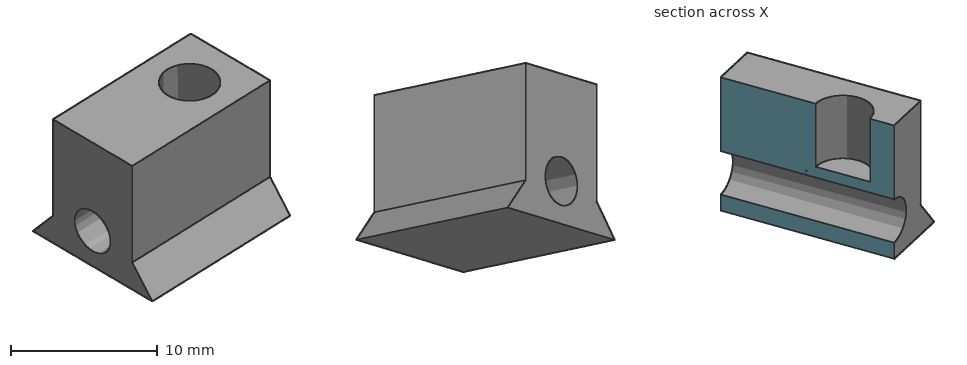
import cadquery as cq

base_width = 11.4
length = 13.5
height = 10.6

body_width = 7.56
flare_height = 2.32

long_hole_diameter = 3.4
long_hole_height = 3.01

top_hole_diameter = 4.2
top_hole_depth = 5.0
top_hole_from_back = 4.0


def make_block():
    """Rectangular body with a foot that flares out to the base, centred in X and Y."""
    half_base = base_width / 2
    half_body = body_width / 2
    outline = [
        (-half_base, 0),
        (half_base, 0),
        (half_body, flare_height),
        (half_body, height),
        (-half_body, height),
        (-half_body, flare_height),
    ]
    return cq.Workplane("XZ").polyline(outline).close().extrude(length / 2, both=True)


def make_long_hole():
    return (
        cq.Workplane("XZ")
        .center(0, long_hole_height)
        .circle(long_hole_diameter / 2)
        .extrude(length / 2, both=True)
    )


def make_top_hole():
    return (
        cq.Workplane("XY", origin=(0, length / 2 - top_hole_from_back, height))
        .circle(top_hole_diameter / 2)
        .extrude(-top_hole_depth)
    )


result = make_block().cut(make_long_hole()).cut(make_top_hole())